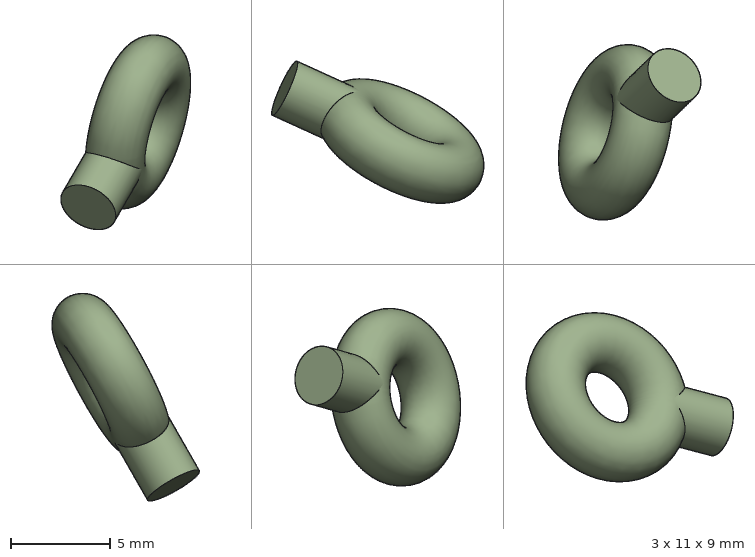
import cadquery as cq

overall_length = 11.0
ring_outer_diameter = 9.0
wire_diameter = 3.0

wire_radius = wire_diameter / 2
ring_outer_radius = ring_outer_diameter / 2
ring_center_radius = ring_outer_radius - wire_radius
shank_reach = overall_length - ring_outer_radius


def make_ring():
    """Round-wire ring centred on the origin, with its axis along X."""
    return cq.Workplane(cq.Solid.makeTorus(
        ring_center_radius,
        wire_radius,
        cq.Vector(0, 0, 0),
        cq.Vector(1, 0, 0),
    ))


def make_shank():
    """Straight round shank running from the ring's wire centre toward -Y."""
    return (
        cq.Workplane("XZ", origin=(0, -ring_center_radius, 0))
        .circle(wire_radius)
        .extrude(shank_reach - ring_center_radius)
    )


result = make_ring().union(make_shank())